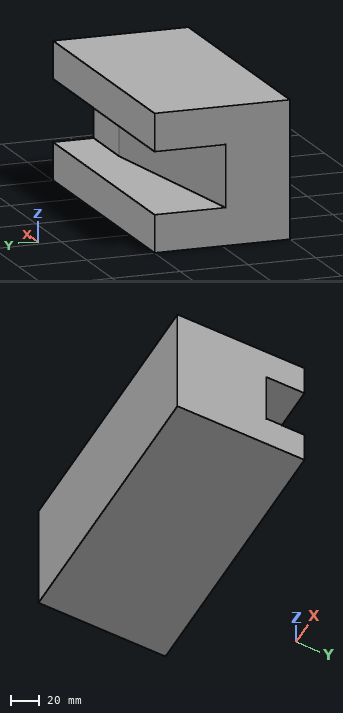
import cadquery as cq

length = 200.0
width = 100.0
height = 100.0

slot_height = 45.2
deep_depth = 52.5
shallow_depth = 30.0
ramp_length = 150.0

back = width / 2
start = -length / 2
ramp_end = start + ramp_length
end = length / 2

block = cq.Workplane("XY").box(length, width, height)

slot = (
    cq.Workplane("XY")
    .polyline([
        (start, back),
        (start, back - deep_depth),
        (ramp_end, back - shallow_depth),
        (end, back - shallow_depth),
        (end, back),
    ])
    .close()
    .extrude(slot_height / 2, both=True)
)

result = block.cut(slot)